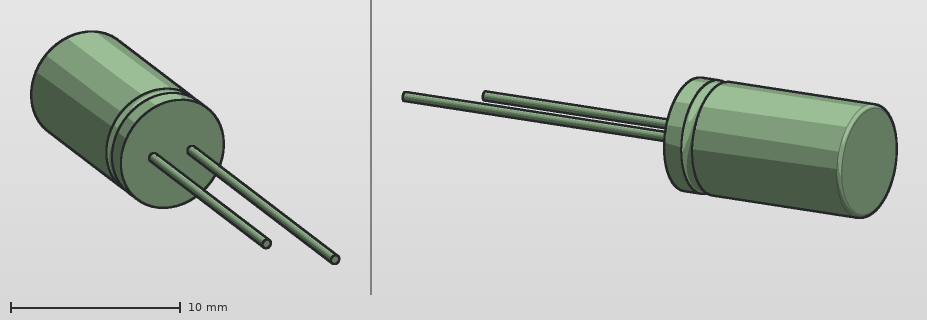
import cadquery as cq

can_length = 12.03
can_diameter = 6.8
can_radius = can_diameter / 2
end_fillet = 0.22

groove_radius = 0.37
groove_to_lead_end = 1.55

overall_length = 31.0
lead_diameter = 0.55
lead_pitch = 2.5
lead_length_difference = 4.0
long_lead_length = overall_length - can_length
short_lead_length = long_lead_length - lead_length_difference


def make_can():
    """Closed cylinder along +X with a rounded blind end and a half-round crimp groove."""
    body = cq.Workplane("YZ").circle(can_radius).extrude(can_length)
    body = body.faces("<X").edges().fillet(end_fillet)
    groove = (
        cq.Workplane("XY")
        .center(can_length - groove_to_lead_end, can_radius)
        .circle(groove_radius)
        .revolve(360, (0, -can_radius), (1, -can_radius))
    )
    return body.cut(groove)


def make_lead(y_position, length):
    """Round wire along +X, starting on the lead end face of the can."""
    return (
        cq.Workplane("YZ", origin=(can_length, y_position, 0))
        .circle(lead_diameter / 2)
        .extrude(length)
    )


can = make_can()

leads = [
    make_lead(y_position, length)
    for y_position, length in (
        (lead_pitch / 2, long_lead_length),
        (-lead_pitch / 2, short_lead_length),
    )
]

result = cq.Compound.makeCompound([can.val(), *[lead.val() for lead in leads]])